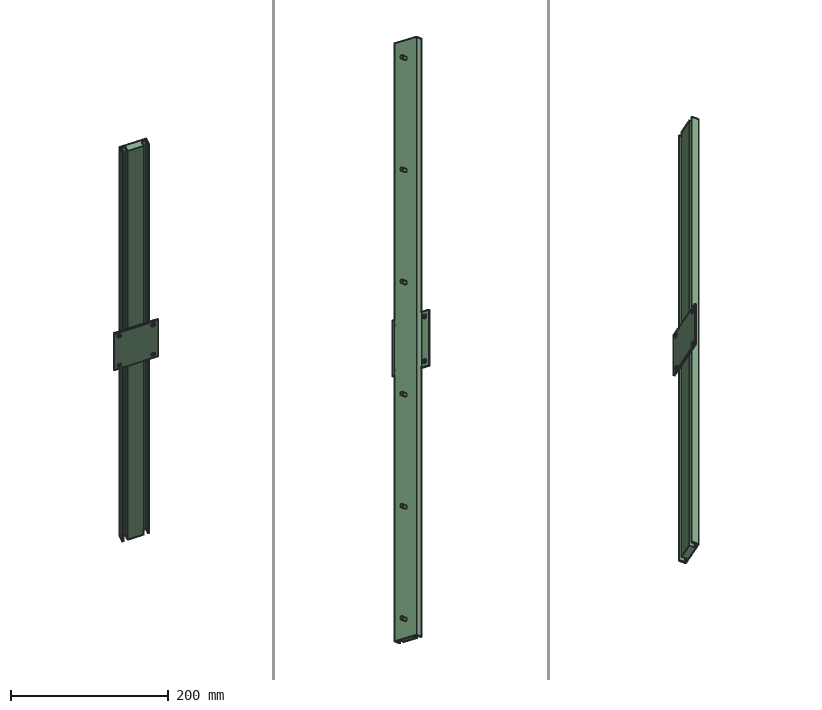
import cadquery as cq

total_depth = 19.5
stud_length = 7.7

rail_length = 813.0
rail_width = 36.5
web_thickness = 2.5
flange_thickness = 2.0
rib_width = 22.0

plate_width = 60.0
plate_height = 76.0
plate_thickness = 2.0
plate_center_z = -2.5
plate_hole_diameter = 5.5
plate_hole_pitch_y = 46.0
plate_hole_pitch_z = 61.0

stud_count = 6
stud_diameter = 4.6
stud_end_margin = 25.0

web_back = stud_length + web_thickness
rail_back = total_depth - plate_thickness
rib_depth = rail_back - web_back
flange_y = (rail_width - flange_thickness) / 2
stud_pitch = (rail_length - 2 * stud_end_margin) / (stud_count - 1)


def make_block(x_front, depth, width, height, y_center=0.0):
    """Box starting at x_front, centred on y_center and on Z = 0."""
    box = cq.Workplane("XY").box(depth, width, height, centered=(False, True, True))
    return box.translate((x_front, y_center, 0))


def make_rail():
    """Full-length rail with two slots open to the back between rib and flanges."""
    web = make_block(stud_length, web_thickness, rail_width, rail_length)
    rail = web.union(make_block(web_back, rib_depth, rib_width, rail_length))
    for side in (-1, 1):
        flange = make_block(web_back, rib_depth, flange_thickness, rail_length, side * flange_y)
        rail = rail.union(flange)
    return rail


def make_plate():
    """Flat plate with a through hole near each corner."""
    plate = (
        make_block(rail_back, plate_thickness, plate_width, plate_height)
        .faces("<X")
        .workplane(centerOption="CenterOfBoundBox")
        .rect(plate_hole_pitch_y, plate_hole_pitch_z, forConstruction=True)
        .vertices()
        .hole(plate_hole_diameter)
    )
    return plate.translate((0, 0, plate_center_z))


def make_stud(z):
    """Round stud standing on the front face of the rail at height z."""
    stud = cq.Workplane("YZ").circle(stud_diameter / 2).extrude(stud_length)
    return stud.translate((0, 0, z))


rail = make_rail()
plate = make_plate()

studs = []
for index in range(stud_count):
    stud_z = -rail_length / 2 + stud_end_margin + index * stud_pitch
    studs.append(make_stud(stud_z).val())

result = cq.Compound.makeCompound([rail.val(), plate.val(), *studs])